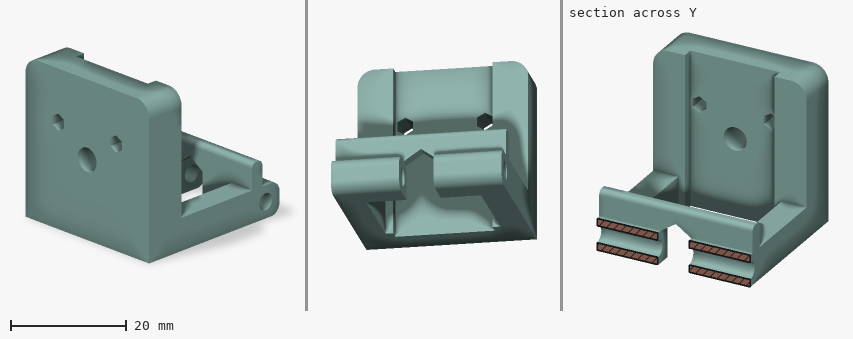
import cadquery as cq

width = 30.0
length = 32.0
height = 30.0

plate_thickness = 8.0
plate_corner_radius = 3.0
recess_width = 17.5
recess_depth = 2.0

shaft_hole_diameter = 4.5
shaft_hole_height = height / 2
screw_hex_diameter = 3.2
screw_spacing = 14.0
screw_height = 20.0

base_height = 6.2
window_width = 20.2
rib_front = 25.28
rib_thickness = 2.5
rib_top = 11.25
rib_edge_radius = 1.0

hinge_corner_radius = 2.0
hinge_hole_diameter = 3.2
hinge_axis_y = 28.6
hinge_axis_z = base_height / 2
hinge_gap = 6.0
gap_peak_height = 8.25


def box(size_x, y_start, y_end, z_top):
    """Box centred on X, standing on Z = 0."""
    return (
        cq.Workplane("XY")
        .box(size_x, y_end - y_start, z_top, centered=(True, False, False))
        .translate((0, y_start, 0))
    )


def make_plate():
    plate = box(width, 0, plate_thickness, height)
    return plate.edges("|Y and >Z").fillet(plate_corner_radius)


def make_base():
    base = box(width, 0, length, base_height)
    return base.edges("|X and >Y").fillet(hinge_corner_radius)


def make_rib():
    rib = box(width, rib_front, rib_front + rib_thickness, rib_top)
    return rib.edges("|X and >Z").fillet(rib_edge_radius)


def make_window():
    """Opening through the base, continued by a shallow recess up the back of the plate."""
    window = box(window_width, plate_thickness, rib_front, base_height)
    recess = box(recess_width, plate_thickness - recess_depth, plate_thickness, height)
    return window.union(recess)


def make_hinge_gap():
    """Slot across the crossbar, with a gabled roof where it passes under the rib."""
    half_gap = hinge_gap / 2
    return (
        cq.Workplane("XZ", origin=(0, length, 0))
        .moveTo(-half_gap, 0)
        .lineTo(half_gap, 0)
        .lineTo(half_gap, base_height)
        .lineTo(0, gap_peak_height)
        .lineTo(-half_gap, base_height)
        .close()
        .extrude(length - rib_front)
    )


def make_hinge_hole():
    return (
        cq.Workplane("YZ", origin=(-width / 2, hinge_axis_y, hinge_axis_z))
        .circle(hinge_hole_diameter / 2)
        .extrude(width)
    )


def make_plate_holes():
    """Round shaft hole and two hexagonal screw holes, points up, through the plate."""
    holes = (
        cq.Workplane("XZ", origin=(0, 0, shaft_hole_height))
        .circle(shaft_hole_diameter / 2)
        .extrude(-plate_thickness)
    )
    for side in (-1, 1):
        screw_hole = (
            cq.Workplane("XZ", origin=(side * screw_spacing / 2, 0, screw_height))
            .transformed(rotate=(0, 0, 90))
            .polygon(6, screw_hex_diameter)
            .extrude(-plate_thickness)
        )
        holes = holes.union(screw_hole)
    return holes


result = (
    make_plate()
    .union(make_base())
    .union(make_rib())
    .cut(make_window())
    .cut(make_hinge_gap())
    .cut(make_hinge_hole())
    .cut(make_plate_holes())
)